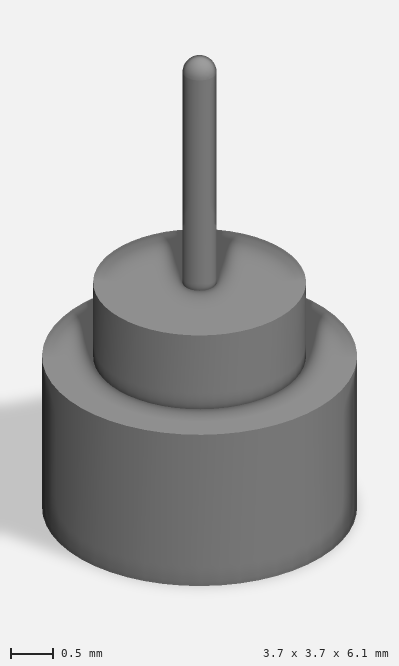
import cadquery as cq

total_height = 6.1
base_diameter = 3.7
base_height = 2.05
neck_diameter = 2.5
neck_height = 1.0
insulator_diameter = 1.95
pin_diameter = 0.4

shoulder_z = base_height
neck_top_z = base_height + neck_height
pin_radius = pin_diameter / 2
pin_straight_top_z = total_height - pin_radius


def cylinder(diameter, bottom_z, top_z):
    """Upright cylinder on the Z axis between two heights."""
    return cq.Workplane("XY").workplane(offset=bottom_z).circle(diameter / 2).extrude(top_z - bottom_z)


def make_shell():
    """Wide base with the narrower neck standing on it."""
    base = cylinder(base_diameter, 0, shoulder_z)
    neck = cylinder(neck_diameter, shoulder_z, neck_top_z)
    return base.union(neck)


def make_insulator():
    """Disc set flush in the top of the neck."""
    return cylinder(insulator_diameter, shoulder_z, neck_top_z)


def make_pin():
    """Contact pin with a hemispherical tip."""
    shaft = cylinder(pin_diameter, neck_top_z, pin_straight_top_z)
    tip = cq.Workplane("XY").sphere(pin_radius).translate((0, 0, pin_straight_top_z))
    return shaft.union(tip, clean=False)


result = make_shell().union(make_insulator(), clean=False).union(make_pin(), clean=False)